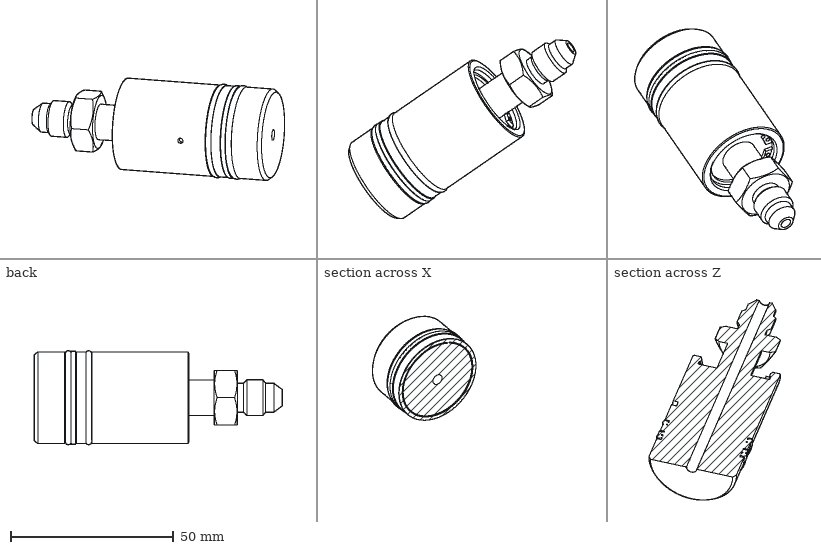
import cadquery as cq
import math


length = 76.6
bore_radius = 3.2 / 2

tip_radius = 2.5
nose_radius = 9.05 / 2
thread_radius = 11.1 / 2
neck_radius = 9.0 / 2
nose_cone_length = 2.7
thread_lead_x = 5.2
thread_start_x = 6.05
thread_end_x = 10.95
neck_start_x = 12.0

hex_start_x = 13.9
hex_width = 7.2
hex_end_x = hex_start_x + hex_width
hex_across_flats = 16.9
hex_corner_radius = hex_across_flats / math.sqrt(3)
hex_face_radius = 8.2
hex_chamfer_angle = math.radians(30)
hex_chamfer_length = (hex_corner_radius - hex_face_radius) * math.tan(hex_chamfer_angle)

stem_radius = 11.0 / 2

sleeve_start_x = 28.9
sleeve_radius = 28.35 / 2
front_chamfer_length = 0.2
front_chamfer_depth = 0.45
rear_chamfer_length = 1.15
rear_chamfer_depth = 0.9

ring_thickness = 1.0
ring_outer_radius = 11.5
ring_inner_radius = 10.0
lug_inner_radius = 9.0
lug_half_angle = 31.0
ring_gap = 3.1
lug_hole_diameter = 1.2
lug_hole_y = -9.6
lug_hole_z = 3.45

recess_radius = 22.05 / 2
recess_mouth_radius = 11.6
recess_chamfer_length = 0.9
ring_depth = 2.3
ring_front_x = sleeve_start_x + ring_depth
ring_back_x = ring_front_x + ring_thickness

groove_floor_radius = 25.5 / 2
seal_outer_radius = 29.0 / 2
backup_outer_radius = 28.7 / 2
seal_cord_radius = 0.9
seal_centre_radius = seal_outer_radius - seal_cord_radius
front_groove = (58.75, 60.6)
rear_groove = (63.6, 67.2)
front_seal_x = 59.75
rear_seal_x = 66.0
backup_start_x = 63.8
backup_end_x = 65.2

side_hole_diameter = 1.6
side_hole_depth = 1.6
side_hole_x = 50.9


def disc(start_x, end_x, radius):
    """Round cylinder about the X axis."""
    return cq.Workplane("YZ", origin=(start_x, 0, 0)).circle(radius).extrude(end_x - start_x)


def tube(start_x, end_x, outer_radius, inner_radius):
    """Hollow cylinder about the X axis."""
    return disc(start_x, end_x, outer_radius).cut(disc(start_x, end_x, inner_radius))


def revolved(points):
    """Solid of revolution about the X axis from (x, radius) points."""
    return cq.Workplane("XY").polyline(points).close().revolve(360, (0, 0, 0), (1, 0, 0))


def make_shaft():
    """Coned nose, thread, neck and stem, reaching into the sleeve."""
    return revolved([
        (0, 0),
        (0, tip_radius),
        (nose_cone_length, nose_radius),
        (thread_lead_x, nose_radius),
        (thread_start_x, thread_radius),
        (thread_end_x, thread_radius),
        (neck_start_x, neck_radius),
        (hex_start_x, neck_radius),
        (hex_start_x, stem_radius),
        (ring_back_x, stem_radius),
        (ring_back_x, 0),
    ])


def make_hexagon():
    """Hexagon with flats facing +Z and -Z, its corners turned off at both ends."""
    prism = (
        cq.Workplane("YZ", origin=(hex_start_x, 0, 0))
        .polygon(6, 2 * hex_corner_radius)
        .extrude(hex_width)
    )
    turned_blank = revolved([
        (hex_start_x, 0),
        (hex_start_x, hex_face_radius),
        (hex_start_x + hex_chamfer_length, hex_corner_radius),
        (hex_end_x - hex_chamfer_length, hex_corner_radius),
        (hex_end_x, hex_face_radius),
        (hex_end_x, 0),
    ])
    return prism.intersect(turned_blank)


def make_sleeve():
    """Sleeve with the front recess, the ring groove and the two seal grooves."""
    sleeve = revolved([
        (ring_back_x, 0),
        (ring_back_x, ring_outer_radius),
        (ring_front_x, ring_outer_radius),
        (ring_front_x, recess_radius),
        (sleeve_start_x + recess_chamfer_length, recess_radius),
        (sleeve_start_x, recess_mouth_radius),
        (sleeve_start_x, sleeve_radius - front_chamfer_depth),
        (sleeve_start_x + front_chamfer_length, sleeve_radius),
        (length - rear_chamfer_length, sleeve_radius),
        (length, sleeve_radius - rear_chamfer_depth),
        (length, 0),
    ])
    for start_x, end_x in (front_groove, rear_groove):
        sleeve = sleeve.cut(tube(start_x, end_x, sleeve_radius, groove_floor_radius))
    return sleeve


def make_seal(centre_x):
    """Round-section seal bedded in its groove."""
    return (
        cq.Workplane("XY")
        .center(centre_x, seal_centre_radius)
        .circle(seal_cord_radius)
        .revolve(360, (0, -seal_centre_radius, 0), (1, -seal_centre_radius, 0))
    )


def make_coupling():
    """Fitting end, sleeve and seal rings as one solid, with passage and side hole."""
    coupling = make_shaft().union(make_hexagon()).union(make_sleeve())
    for centre_x in (front_seal_x, rear_seal_x):
        coupling = coupling.union(make_seal(centre_x))
    coupling = coupling.union(
        tube(backup_start_x, backup_end_x, backup_outer_radius, groove_floor_radius)
    )
    side_hole = (
        cq.Workplane("XZ", origin=(side_hole_x, -sleeve_radius, 0))
        .circle(side_hole_diameter / 2)
        .extrude(-side_hole_depth)
    )
    return coupling.cut(disc(0, length, bore_radius)).cut(side_hole)


def make_retaining_ring():
    """Split ring open toward -Y, with a drilled lug on each side of the gap."""
    ring = tube(ring_front_x, ring_back_x, ring_outer_radius, ring_inner_radius)

    wedge_y = -ring_outer_radius
    wedge_z = ring_outer_radius * math.tan(math.radians(lug_half_angle))
    wedge = (
        cq.Workplane("YZ", origin=(ring_front_x, 0, 0))
        .polyline([(0, 0), (wedge_y, wedge_z), (wedge_y, -wedge_z)])
        .close()
        .extrude(ring_thickness)
    )
    lug_band = tube(ring_front_x, ring_back_x, ring_outer_radius, lug_inner_radius).intersect(wedge)

    gap = (
        cq.Workplane("YZ", origin=(ring_front_x, -ring_outer_radius, 0))
        .rect(ring_outer_radius, ring_gap)
        .extrude(ring_thickness)
    )
    lug_holes = (
        cq.Workplane("YZ", origin=(ring_front_x, 0, 0))
        .pushPoints([(lug_hole_y, lug_hole_z), (lug_hole_y, -lug_hole_z)])
        .circle(lug_hole_diameter / 2)
        .extrude(ring_thickness)
    )
    return ring.union(lug_band).cut(gap).cut(lug_holes)


coupling = make_coupling()
retaining_ring = make_retaining_ring()
result = cq.Compound.makeCompound([coupling.solids().val(), retaining_ring.solids().val()])